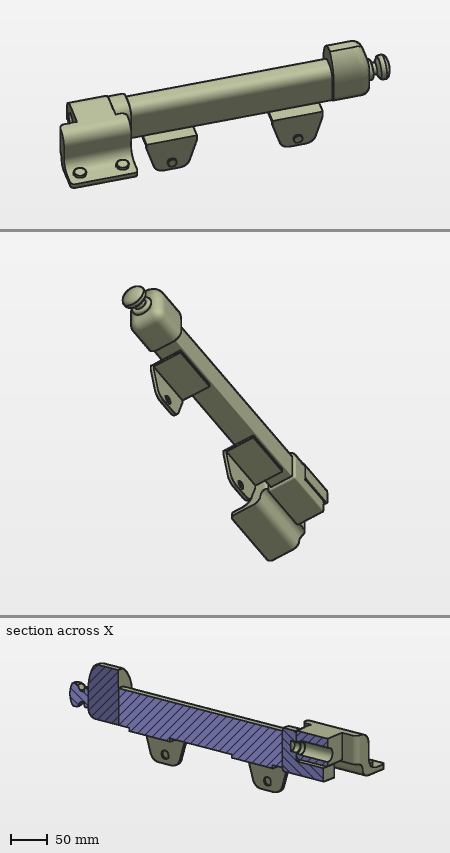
import cadquery as cq
import math


RAIL_WIDTH = 35.5
RAIL_HEIGHT = 53.5
RAIL_TOP_RADIUS = 13.5
RAIL_BOTTOM_RADIUS = 1.5
SHOULDER_Z = 39.5

COLLAR_WALL = 4.5
COLLAR_BACK_Y = 104.5
COLLAR_FRONT_Y = 80.0
COLLAR_RIM_FILLET = 3.0
COLLAR_EDGE_FILLET = 3.0
TONGUE_FRONT_Y = 33.0
TONGUE_TOP_Z = 15.0

CAP_WIDTH = 53.0
CAP_TOP_Z = 79.5
CAP_TOP_FLAT = 12.8
CAP_FRONT_Y = 387.5
CAP_BACK_Y = 441.0
CAP_FILLET = 13.5
CAP_BACK_RADIUS = 73.0

KNOB_Z = 27.5
KNOB_END_Y = 472.5
KNOB_RADIUS = 17.0
KNOB_BAND_START_Y = 461.5
KNOB_BAND_END_Y = 465.0
KNOB_CROWN_RADIUS = 12.8
KNOB_CROWN_Y = 469.5
KNOB_UNDERSIDE_RADIUS = 15.5
KNOB_UNDERSIDE_Y = 458.0
KNOB_EDGE_ROUNDING = 7.0
NECK_RADIUS = 8.5
NECK_START_Y = 447.5
NECK_END_Y = 453.5
RING_RADIUS = 14.5
RING_FILLET = 3.0

TAB_Y_CENTERS = (157.0, 334.0)
TAB_WIDTH = 71.0
TAB_THICKNESS = 4.5
TAB_OUTER_X = 35.5
TAB_INNER_X = -13.0
TAB_BOTTOM_Z = -53.0
TAB_TAPER_START_Z = -8.5
TAB_TAPER = 0.3
TAB_CORNER_RADIUS = 15.0
STUD_RADIUS = 6.0
STUD_Z = -39.5
STUD_HEIGHT = 3.0

BLOCK_FRONT_Y = 25.5
BRACKET_TOP_Z = 59.0
BRACKET_RADIUS = 17.0
BLOCK_BOTTOM_Z = 18.0
BLOCK_EDGE_FILLET = 4.3
WEB_LEFT_X = 28.0
WEB_LOWER_X = 40.5
WEB_RIGHT_X = 54.0
WEB_EDGE_FILLET = 7.5
PLATE_END_X = 89.8
PLATE_BOTTOM_Z = -3.5
PLATE_TOP_Z = 4.0
PLATE_HEEL_RADIUS = 11.5
PLATE_CORNER_RADIUS = 5.5
BRACKET_LENGTH = 94.5

PAD_X = 72.0
PAD_Y_POSITIONS = (17.5, 77.5)
PAD_RADIUS = 8.0
PAD_TOP_Z = 8.0
SPOTFACE_RADIUS = 9.5

PIVOT_ENTRY_X = -3.0
PIVOT_ENTRY_Z = 35.5
PIVOT_ENTRY_RADIUS = 10.0
PIVOT_ENTRY_DEPTH = 47.2
PIVOT_X = -2.0
PIVOT_Z = 34.5
PIVOT_RADIUS = 8.5
PIVOT_SOCKET_RADIUS = 7.0
PIVOT_SOCKET_DEPTH = 9.5


def extrude_along_y(outline, y_start, y_end):
    """Extrude an XZ outline, drawn on the XZ plane, from y_start to y_end."""
    return outline.extrude(-(y_end - y_start)).translate((0, y_start, 0))


def box(x_range, y_range, z_range):
    """Box from its lower and upper limits along each axis."""
    size = [high - low for low, high in (x_range, y_range, z_range)]
    corner = (x_range[0], y_range[0], z_range[0])
    return cq.Workplane("XY").box(*size, centered=False).translate(corner)


def cylinder_along_y(x, z, radius, y_start, y_end):
    outline = cq.Workplane("XZ").center(x, z).circle(radius)
    return extrude_along_y(outline, y_start, y_end)


def rounded_top_bar(margin, y_start, y_end):
    """Bar with the rail's section, grown outward by margin."""
    half_width = RAIL_WIDTH / 2 + margin
    bar = box((-half_width, half_width), (y_start, y_end), (-margin, RAIL_HEIGHT + margin))
    return bar.edges("|Y and >Z").fillet(RAIL_TOP_RADIUS + margin)


def make_tab(y_center):
    """Angle tab: a flange under the rail and a tapered leg with a pressed-out stud."""
    half_width = TAB_WIDTH / 2
    bottom_half = half_width - TAB_TAPER * (TAB_TAPER_START_Z - TAB_BOTTOM_Z)
    leg_inner_x = TAB_OUTER_X - TAB_THICKNESS
    leg = (
        cq.Workplane("YZ")
        .moveTo(-half_width, 0)
        .lineTo(-half_width, TAB_TAPER_START_Z)
        .lineTo(-bottom_half, TAB_BOTTOM_Z)
        .lineTo(bottom_half, TAB_BOTTOM_Z)
        .lineTo(half_width, TAB_TAPER_START_Z)
        .lineTo(half_width, 0)
        .close()
        .extrude(TAB_THICKNESS)
        .edges("|X and <Z")
        .fillet(TAB_CORNER_RADIUS)
        .translate((leg_inner_x, 0, 0))
    )
    flange = box((TAB_INNER_X, TAB_OUTER_X), (-half_width, half_width), (-TAB_THICKNESS, 0))
    stud = cq.Workplane("YZ").center(0, STUD_Z).circle(STUD_RADIUS).extrude(STUD_HEIGHT)
    tab = leg.union(flange)
    tab = tab.union(stud.translate((TAB_OUTER_X, 0, 0)))
    tab = tab.cut(stud.translate((leg_inner_x, 0, 0)))
    return tab.translate((0, y_center, 0))


def make_rail():
    """Rail with its two hanger tabs."""
    rail = rounded_top_bar(0, COLLAR_BACK_Y, CAP_FRONT_Y)
    rail = rail.edges("|Y and <Z").fillet(RAIL_BOTTOM_RADIUS)
    for y_center in TAB_Y_CENTERS:
        rail = rail.union(make_tab(y_center))
    return rail


def make_collar():
    """Collar with a tongue reaching forward under the bracket block."""
    collar = rounded_top_bar(COLLAR_WALL, TONGUE_FRONT_Y, COLLAR_BACK_Y)
    collar = collar.edges("|Y and <Z").fillet(COLLAR_EDGE_FILLET)
    collar = collar.faces(">Y").edges().fillet(COLLAR_RIM_FILLET)
    x_range = (-RAIL_WIDTH / 2 - COLLAR_WALL, RAIL_WIDTH / 2 + COLLAR_WALL)
    z_range = (-COLLAR_WALL, RAIL_HEIGHT + COLLAR_WALL)
    rounded_plan = box(x_range, (TONGUE_FRONT_Y, COLLAR_BACK_Y), z_range)
    collar = collar.intersect(rounded_plan.edges("|Z and <Y").fillet(COLLAR_EDGE_FILLET))
    collar = collar.cut(box(x_range, (TONGUE_FRONT_Y, COLLAR_FRONT_Y), (TONGUE_TOP_Z, z_range[1])))
    socket = cylinder_along_y(
        PIVOT_X, PIVOT_Z, PIVOT_SOCKET_RADIUS, COLLAR_FRONT_Y, COLLAR_FRONT_Y + PIVOT_SOCKET_DEPTH
    )
    return collar.cut(socket)


def make_cap():
    """Arched cap whose end face curves forward above the shoulder height."""
    half_width = CAP_WIDTH / 2
    half_flat = CAP_TOP_FLAT / 2
    arch_height = CAP_TOP_Z - SHOULDER_Z
    arch_run = half_width - half_flat
    arch_radius = (arch_run**2 + arch_height**2) / (2 * arch_run)
    arch_angle = math.asin(arch_height / arch_radius) / 2
    mid_x = half_width - arch_radius * (1 - math.cos(arch_angle))
    mid_z = SHOULDER_Z + arch_radius * math.sin(arch_angle)
    arch = (
        cq.Workplane("XZ")
        .moveTo(-half_width, 0)
        .lineTo(half_width, 0)
        .lineTo(half_width, SHOULDER_Z)
        .threePointArc((mid_x, mid_z), (half_flat, CAP_TOP_Z))
        .lineTo(-half_flat, CAP_TOP_Z)
        .threePointArc((-mid_x, mid_z), (-half_width, SHOULDER_Z))
        .close()
    )
    body = extrude_along_y(arch, CAP_FRONT_Y, CAP_BACK_Y)
    body = body.edges("|Y and <Z").fillet(CAP_FILLET)

    back_angle = math.asin(arch_height / CAP_BACK_RADIUS)

    def back_point(angle):
        drop = CAP_BACK_RADIUS * (1 - math.cos(angle))
        return (CAP_BACK_Y - drop, SHOULDER_Z + CAP_BACK_RADIUS * math.sin(angle))

    side_profile = (
        cq.Workplane("YZ")
        .moveTo(CAP_FRONT_Y, 0)
        .lineTo(CAP_BACK_Y, 0)
        .lineTo(CAP_BACK_Y, SHOULDER_Z)
        .threePointArc(back_point(back_angle / 2), back_point(back_angle))
        .lineTo(CAP_FRONT_Y, CAP_TOP_Z)
        .close()
        .extrude(half_width, both=True)
    )
    cap = body.intersect(side_profile)
    end_zone_y = CAP_BACK_Y - CAP_FILLET
    rim = cq.selectors.BoxSelector((-CAP_WIDTH, end_zone_y, -4.5), (CAP_WIDTH, CAP_BACK_Y + 4.5, CAP_TOP_Z + 4.5))
    shoulder_line = cq.selectors.NearestToPointSelector((0, CAP_BACK_Y, SHOULDER_Z))
    return cap.edges(rim - shoulder_line).fillet(CAP_FILLET)


def make_knob():
    """Turned knob: base ring, neck and a rounded head with a narrow band."""
    ring_flat = RING_RADIUS - RING_FILLET
    crown_rise = KNOB_END_Y - KNOB_CROWN_Y
    crown_sphere = (KNOB_CROWN_RADIUS**2 + crown_rise**2) / (2 * crown_rise)
    knob = (
        cq.Workplane("XY")
        .moveTo(0, CAP_BACK_Y)
        .lineTo(ring_flat, CAP_BACK_Y)
        .radiusArc((RING_RADIUS, CAP_BACK_Y + RING_FILLET), -RING_FILLET)
        .lineTo(RING_RADIUS, NECK_START_Y - RING_FILLET)
        .radiusArc((ring_flat, NECK_START_Y), -RING_FILLET)
        .lineTo(NECK_RADIUS, NECK_START_Y)
        .lineTo(NECK_RADIUS, NECK_END_Y)
        .lineTo(KNOB_UNDERSIDE_RADIUS, KNOB_UNDERSIDE_Y)
        .radiusArc((KNOB_RADIUS, KNOB_BAND_START_Y), -KNOB_EDGE_ROUNDING)
        .lineTo(KNOB_RADIUS, KNOB_BAND_END_Y)
        .radiusArc((KNOB_CROWN_RADIUS, KNOB_CROWN_Y), -KNOB_EDGE_ROUNDING)
        .radiusArc((0, KNOB_END_Y), -crown_sphere)
        .close()
        .revolve(360, (0, 0, 0), (0, 1, 0))
    )
    return knob.translate((0, 0, KNOB_Z))


def make_bracket():
    """Pivot block joined to a web that curves down into a mounting plate with raised pads."""
    inner_radius = BLOCK_BOTTOM_Z - PLATE_BOTTOM_Z - PLATE_HEEL_RADIUS
    web = (
        cq.Workplane("XZ")
        .moveTo(WEB_LEFT_X, BRACKET_TOP_Z)
        .lineTo(WEB_RIGHT_X - BRACKET_RADIUS, BRACKET_TOP_Z)
        .radiusArc((WEB_RIGHT_X, BRACKET_TOP_Z - BRACKET_RADIUS), BRACKET_RADIUS)
        .lineTo(WEB_RIGHT_X, PLATE_TOP_Z + BRACKET_RADIUS)
        .radiusArc((WEB_RIGHT_X + BRACKET_RADIUS, PLATE_TOP_Z), -BRACKET_RADIUS)
        .lineTo(PLATE_END_X, PLATE_TOP_Z)
        .lineTo(PLATE_END_X, PLATE_BOTTOM_Z)
        .lineTo(WEB_LOWER_X + PLATE_HEEL_RADIUS, PLATE_BOTTOM_Z)
        .radiusArc((WEB_LOWER_X, PLATE_BOTTOM_Z + PLATE_HEEL_RADIUS), PLATE_HEEL_RADIUS)
        .radiusArc((WEB_LOWER_X - inner_radius, BLOCK_BOTTOM_Z), -inner_radius)
        .lineTo(WEB_LEFT_X, BLOCK_BOTTOM_Z)
        .close()
    )
    web = extrude_along_y(web, 0, BRACKET_LENGTH)
    web = web.edges("|Z and <X").fillet(WEB_EDGE_FILLET)
    web = web.edges("|Z and >X").fillet(PLATE_CORNER_RADIUS)

    block_left_x = -RAIL_WIDTH / 2 - COLLAR_WALL
    block_right_x = WEB_LEFT_X + WEB_EDGE_FILLET
    block = box(
        (block_left_x, block_right_x), (BLOCK_FRONT_Y, COLLAR_FRONT_Y), (BLOCK_BOTTOM_Z, BRACKET_TOP_Z)
    )
    block = block.edges("|Y and <X and >Z").fillet(BRACKET_RADIUS)
    block = block.edges("|X and <Z").fillet(BLOCK_EDGE_FILLET)
    bracket = web.union(block)

    for y in PAD_Y_POSITIONS:
        center = cq.Workplane("XY", origin=(PAD_X, y, PLATE_TOP_Z))
        bracket = bracket.cut(center.circle(SPOTFACE_RADIUS).extrude(BRACKET_RADIUS))
        bracket = bracket.union(center.circle(PAD_RADIUS).extrude(PAD_TOP_Z - PLATE_TOP_Z))

    entry = cylinder_along_y(
        PIVOT_ENTRY_X, PIVOT_ENTRY_Z, PIVOT_ENTRY_RADIUS, BLOCK_FRONT_Y, BLOCK_FRONT_Y + PIVOT_ENTRY_DEPTH
    )
    bore = cylinder_along_y(PIVOT_X, PIVOT_Z, PIVOT_RADIUS, BLOCK_FRONT_Y, COLLAR_FRONT_Y)
    return bracket.cut(entry).cut(bore)


rail = make_rail()
collar = make_collar()
cap = make_cap()
knob = make_knob()
bracket = make_bracket()

result = cq.Compound.makeCompound([rail.val(), collar.val(), cap.val(), knob.val(), bracket.val()])